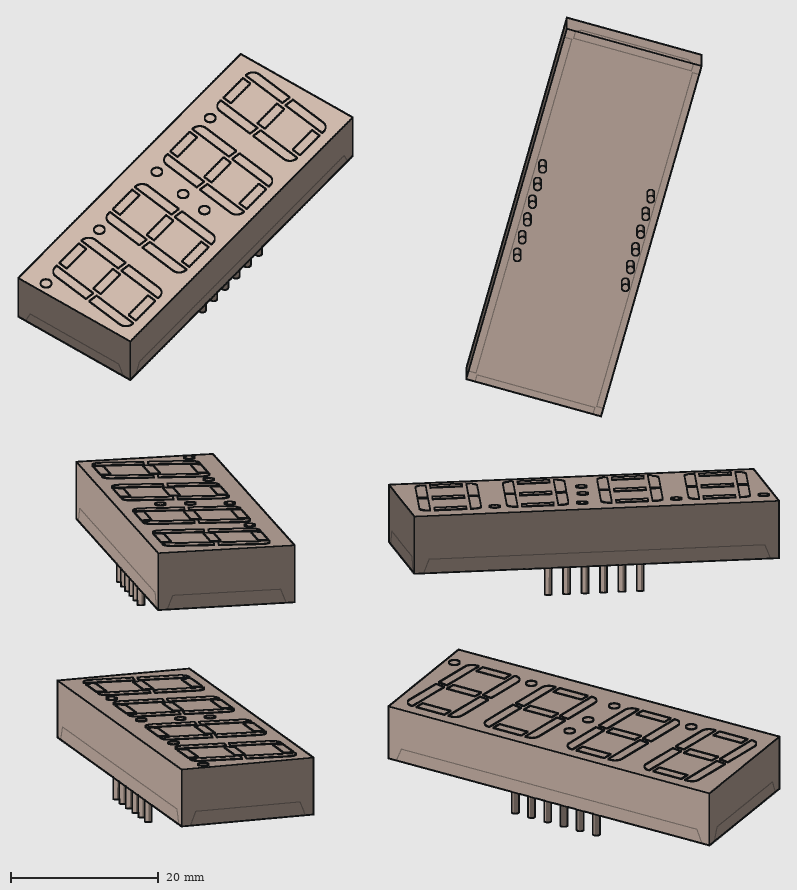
import cadquery as cq
import math

BODY_X = 19.0
BODY_Y = 50.3
BODY_Z = 8.0

NOTCH_DEPTH = 1.0
NOTCH_HEIGHT = 2.0
NOTCH_TOP_INSET = 2.0
NOTCH_BOTTOM_INSET = 1.2

PIN_DIAMETER = 1.0
PIN_LENGTH = 4.1
PIN_PITCH = 2.54
PINS_PER_ROW = 6
ROW_SPACING = 15.24

RAISE = 0.1
LEAN = math.tan(math.radians(8.0))
DIGIT_CENTER_X = 0.63
DIGIT_LENGTH = 14.5
BAR_WIDTH = 1.45
CROSS_WIDTH = 1.4
CROSS_LENGTH = 4.4
SEGMENT_GAP = 0.6
CORNER_RADIUS = 1.2
MIDDLE_CROSS_OFFSET = -0.12
INNER_DIGIT_Y = 6.5
DIGIT_ROW_CENTER_Y = 0.05
DIGIT_PITCH = 12.05
OUTER_DIGIT_Y = INNER_DIGIT_Y + DIGIT_PITCH
DIGIT_CENTERS_Y = [
    DIGIT_ROW_CENTER_Y + offset
    for offset in (-OUTER_DIGIT_Y, -INNER_DIGIT_Y, INNER_DIGIT_Y, OUTER_DIGIT_Y)
]

DOT_DIAMETER = 1.5
POINT_X = DIGIT_CENTER_X - DIGIT_LENGTH / 2 + DOT_DIAMETER / 2
POINT_DROP = 5.2
COLON_CENTER_X = 1.4
COLON_SPACING = 4.05


def wall_notches(plane, wall_width, wall_distance):
    """Trapezoidal blocks in the two opposite walls square to the plane normal."""
    top_half = wall_width / 2 - NOTCH_TOP_INSET
    bottom_half = wall_width / 2 - NOTCH_BOTTOM_INSET
    center_plane = cq.Workplane(plane)
    outline = [
        (-bottom_half, 0),
        (bottom_half, 0),
        (top_half, NOTCH_HEIGHT),
        (-top_half, NOTCH_HEIGHT),
    ]
    near_plane = center_plane.workplane(offset=wall_distance - NOTCH_DEPTH)
    near = near_plane.polyline(outline).close().extrude(NOTCH_DEPTH)
    far_plane = center_plane.workplane(offset=-wall_distance)
    far = far_plane.polyline(outline).close().extrude(NOTCH_DEPTH)
    return near.union(far)


def housing():
    block = cq.Workplane("XY").box(BODY_X, BODY_Y, BODY_Z, centered=(True, True, False))
    notches = wall_notches("XZ", BODY_X, BODY_Y / 2).union(wall_notches("YZ", BODY_Y, BODY_X / 2))
    return block.cut(notches).union(notches, clean=False)


def pins():
    return (
        cq.Workplane("XY")
        .rarray(ROW_SPACING, PIN_PITCH, 2, PINS_PER_ROW)
        .circle(PIN_DIAMETER / 2)
        .extrude(-PIN_LENGTH)
    )


def raised(outline):
    """Plate on the top face with the given corner points."""
    return cq.Workplane("XY").workplane(offset=BODY_Z).polyline(outline).close().extrude(RAISE)


def cross_segment(center_x, digit_y):
    """Short segment across the digit, with leaning ends."""
    left = center_x - CROSS_WIDTH / 2
    right = center_x + CROSS_WIDTH / 2
    left_y = digit_y - LEAN * (left - DIGIT_CENTER_X)
    right_y = digit_y - LEAN * (right - DIGIT_CENTER_X)
    half = CROSS_LENGTH / 2
    return raised([
        (left, left_y - half),
        (right, right_y - half),
        (right, right_y + half),
        (left, left_y + half),
    ])


def bar_segment(end, side, digit_y):
    """Long segment: end is -1 or 1 along X, side is -1 or 1 along Y."""
    inner = side * (CROSS_LENGTH / 2 + SEGMENT_GAP)
    outer = inner + side * BAR_WIDTH
    gap_inner = end * SEGMENT_GAP / 2
    gap_outer = gap_inner + side * LEAN * BAR_WIDTH
    tip = end * DIGIT_LENGTH / 2

    corners = [(gap_inner, inner), (tip, inner), (tip, outer), (gap_outer, outer)]
    outline = [(DIGIT_CENTER_X + u, digit_y + v - LEAN * u) for u, v in corners]
    rounded_x, rounded_y = outline[2]
    rounded_edge = cq.NearestToPointSelector((rounded_x, rounded_y, BODY_Z + RAISE / 2))
    return raised(outline).edges("|Z").edges(rounded_edge).fillet(CORNER_RADIUS)


def digit(digit_y):
    tip_offset = (DIGIT_LENGTH - CROSS_WIDTH) / 2
    segments = cq.Workplane("XY")
    for offset in (-tip_offset, MIDDLE_CROSS_OFFSET, tip_offset):
        segments = segments.add(cross_segment(DIGIT_CENTER_X + offset, digit_y))
    for end in (-1, 1):
        for side in (-1, 1):
            segments = segments.add(bar_segment(end, side, digit_y))
    return segments.combine()


def dots():
    colon_half = COLON_SPACING / 2
    centers = [(POINT_X, digit_y - POINT_DROP) for digit_y in DIGIT_CENTERS_Y]
    for end in (-1, 1):
        centers.append((COLON_CENTER_X + end * colon_half, -end * LEAN * colon_half))
    top = cq.Workplane("XY").workplane(offset=BODY_Z)
    return top.pushPoints(centers).circle(DOT_DIAMETER / 2).extrude(RAISE)


result = housing().union(pins(), clean=False).union(dots(), clean=False)
for center_y in DIGIT_CENTERS_Y:
    result = result.union(digit(center_y), clean=False)